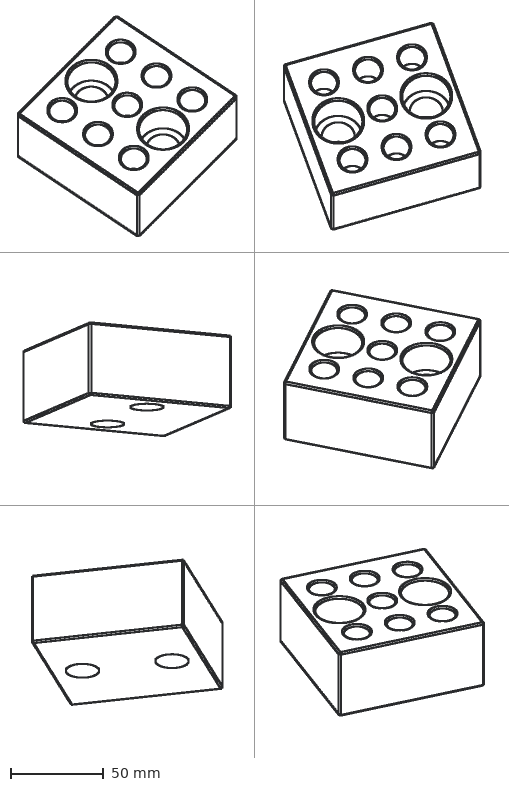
import cadquery as cq

side = 85.0
height = 40.0
edge_chamfer = 1.0

pitch = 25.0

blind_diameter = 14.0
blind_depth = 20.0
drill_tip_height = 4.25

through_diameter = 18.0
bore_diameter = 26.0
bore_depth = 18.0

rim_chamfer = 1.0

bore_points = [(-pitch, 0), (pitch, 0)]
grid_points = [(column * pitch, row * pitch) for column in (-1, 0, 1) for row in (-1, 0, 1)]
blind_points = [point for point in grid_points if point not in bore_points]


def make_block():
    """Square block resting on Z = 0, chamfered on all edges."""
    block = cq.Workplane("XY").box(side, side, height, centered=(True, True, False))
    return block.edges().chamfer(edge_chamfer)


def revolve_about_z(profile):
    """Solid of revolution about Z from (radius, z) points."""
    return cq.Workplane("XZ").polyline(profile).close().revolve(360, (0, 0), (0, 1))


def blind_hole_cutter():
    """Chamfered blind hole ending in a drill-tip cone."""
    radius = blind_diameter / 2
    floor = height - blind_depth
    return revolve_about_z([
        (0, height),
        (radius + rim_chamfer, height),
        (radius, height - rim_chamfer),
        (radius, floor),
        (0, floor - drill_tip_height),
    ])


def counterbore_cutter():
    """Through hole with a wide, chamfered counterbore."""
    bore_radius = bore_diameter / 2
    through_radius = through_diameter / 2
    floor = height - bore_depth
    return revolve_about_z([
        (0, height),
        (bore_radius + rim_chamfer, height),
        (bore_radius, height - rim_chamfer),
        (bore_radius, floor),
        (through_radius, floor),
        (through_radius, 0),
        (0, 0),
    ])


def cut_at(body, cutter, points):
    """Cut a copy of the cutter at each (x, y) point."""
    for x, y in points:
        body = body.cut(cutter.translate((x, y, 0)))
    return body


result = make_block()
result = cut_at(result, blind_hole_cutter(), blind_points)
result = cut_at(result, counterbore_cutter(), bore_points)